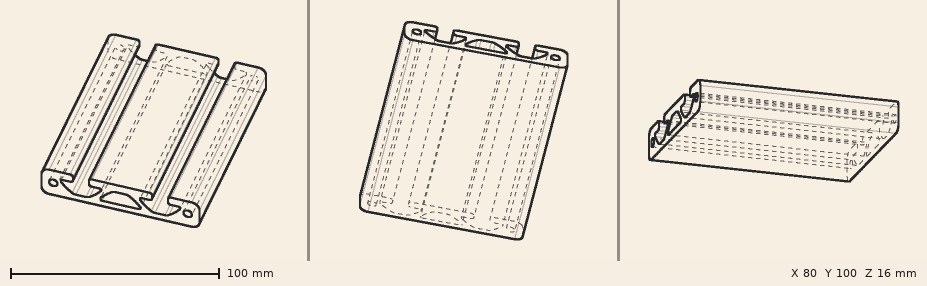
import cadquery as cq

width = 80.0
length = 100.0
height = 16.0
corner_radius = 4.0

slot_spacing = 40.0
slot_opening = 8.0
lip_thickness = 4.75
lip_radius = 1.5

floor_thickness = 3.6
narrow_width = 7.1
wide_width = 22.1
wall_bulge = 0.6
narrow_end_radius = 3.3
wide_end_radius = 1.0

bore_diameter = 4.2
bore_inset = 6.0

cavity_bottom = floor_thickness
cavity_top = height - lip_thickness
slot_centers = [-slot_spacing / 2, slot_spacing / 2]


def extrude_section(sketch):
    """Extrude a closed XZ section over the full length, centred on Y."""
    return sketch.extrude(length / 2, both=True)


def block(x_center, block_width, z_bottom, z_top):
    """Full-length rectangular bar between two heights."""
    z_middle = (z_bottom + z_top) / 2
    section = cq.Workplane("XZ").center(x_center, z_middle).rect(block_width, z_top - z_bottom)
    return extrude_section(section)


def cavity(x_center, z_narrow, z_wide):
    """Trapezoidal bar with rounded corners, narrow at one height and wide at the other."""
    z_middle = (z_narrow + z_wide) / 2
    chord_run = (wide_width - narrow_width) / 2
    chord_rise = z_wide - z_narrow
    chord = (chord_run**2 + chord_rise**2) ** 0.5
    wall_middle_x = (narrow_width + wide_width) / 4 + wall_bulge * abs(chord_rise) / chord
    wall_middle_z = z_middle - wall_bulge * chord_run / chord * (1 if chord_rise > 0 else -1)
    section = (
        cq.Workplane("XZ")
        .moveTo(x_center - narrow_width / 2, z_narrow)
        .lineTo(x_center + narrow_width / 2, z_narrow)
        .threePointArc((x_center + wall_middle_x, wall_middle_z), (x_center + wide_width / 2, z_wide))
        .lineTo(x_center - wide_width / 2, z_wide)
        .threePointArc((x_center - wall_middle_x, wall_middle_z), (x_center - narrow_width / 2, z_narrow))
        .close()
    )
    narrow_side, wide_side = ("<Z", ">Z") if z_narrow < z_wide else (">Z", "<Z")
    bar = extrude_section(section)
    bar = bar.faces(narrow_side).edges("|Y").fillet(narrow_end_radius)
    return bar.faces(wide_side).edges("|Y").fillet(wide_end_radius)


def lip_edges(x_center):
    """Selector for the four lengthwise edges of the lips beside one slot opening."""
    reach = slot_opening / 2 + lip_radius / 2
    return cq.selectors.BoxSelector(
        (x_center - reach, -length, cavity_top - lip_radius / 2),
        (x_center + reach, length, height + lip_radius / 2),
    )


def bore(x_center):
    """Full-length round bore at mid height."""
    section = cq.Workplane("XZ").center(x_center, height / 2).circle(bore_diameter / 2)
    return extrude_section(section)


result = block(0, width, 0, height).edges("|Y").fillet(corner_radius)

for slot_x in slot_centers:
    result = result.cut(cavity(slot_x, cavity_bottom, cavity_top))
    result = result.cut(block(slot_x, slot_opening, cavity_top - lip_radius, height))
    result = result.edges("|Y").edges(lip_edges(slot_x)).fillet(lip_radius)

result = result.cut(cavity(0, cavity_top, cavity_bottom))

for bore_x in [bore_inset - width / 2, width / 2 - bore_inset]:
    result = result.cut(bore(bore_x))